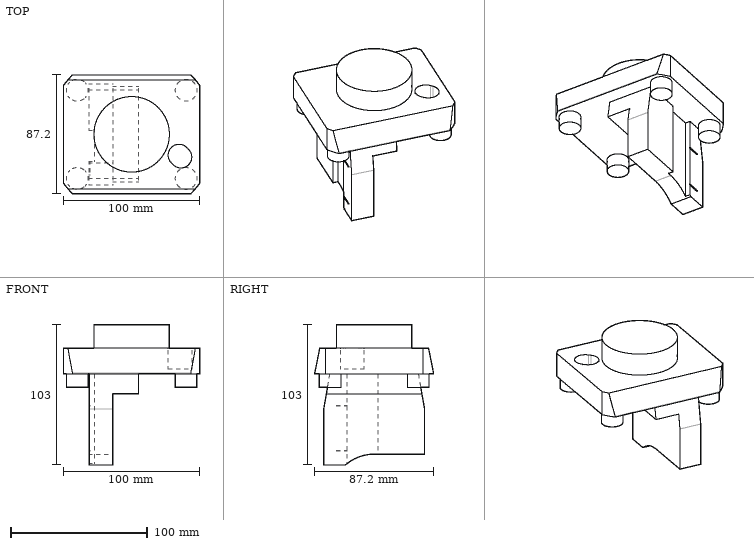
import cadquery as cq
import math

plate_length = 100.0
plate_width = 87.2
plate_top_width = 79.9
plate_height = 18.8
plate_edge_height = 0.5
plate_corner_radius = 61.5

overall_height = 103.0
boss_diameter = 55.4
leg_depth = 67.0
boss_top = overall_height - leg_depth

slot_width = 16.0
slot_center_x = 35.4
slot_center_y = -16.0
slot_center_distance = 2.0
slot_angle = -45.0
slot_depth = 15.5

pin_diameter = 16.0
pin_height = 10.0
pin_x = 39.91
pin_y = 32.3

leg_left = -31.1
leg_thickness = 17.3
foot_right = 5.0
foot_depth = 14.7
leg_width = 74.2
leg_taper_depth = 26.0
leg_taper_angle = 10.0
leg_short_depth = 59.0
arc_end_y = -21.1

recess_depth = 3.9
recess_back_y = 3.0
recess_front_y = -19.9

groove_length = 10.1
groove_height = 0.4
groove_depth = 0.5
groove_levels = (-23.6, -56.5)


def make_plate():
    half_bottom = plate_width / 2
    half_top = plate_top_width / 2
    profile = [
        (-half_bottom, 0),
        (half_bottom, 0),
        (half_bottom, plate_edge_height),
        (half_top, plate_height),
        (-half_top, plate_height),
        (-half_bottom, plate_edge_height),
    ]
    body = cq.Workplane("YZ").polyline(profile).close().extrude(plate_length / 2, both=True)
    corner_cylinder = cq.Workplane("XY").circle(plate_corner_radius).extrude(plate_height)
    return body.intersect(corner_cylinder)


def make_boss():
    return (
        cq.Workplane("XY")
        .workplane(offset=plate_height)
        .circle(boss_diameter / 2)
        .extrude(boss_top - plate_height)
    )


def make_slot():
    return (
        cq.Workplane("XY")
        .workplane(offset=plate_height)
        .center(slot_center_x, slot_center_y)
        .slot2D(slot_width + slot_center_distance, slot_width, slot_angle)
        .extrude(-slot_depth)
    )


def make_pins():
    return (
        cq.Workplane("XY")
        .rect(2 * pin_x, 2 * pin_y, forConstruction=True)
        .vertices()
        .circle(pin_diameter / 2)
        .extrude(-pin_height)
    )


def make_leg():
    """Intersect the L section along X with the side outline along Y."""
    leg_right = leg_left + leg_thickness
    section = (
        cq.Workplane("XZ")
        .moveTo(leg_left, 0)
        .lineTo(foot_right, 0)
        .lineTo(foot_right, -foot_depth)
        .lineTo(leg_right, -foot_depth)
        .lineTo(leg_right, -leg_depth)
        .lineTo(leg_left, -leg_depth)
        .close()
        .extrude(leg_width / 2, both=True)
    )
    half_width = leg_width / 2
    half_width_at_plate = half_width - leg_taper_depth * math.tan(math.radians(leg_taper_angle))

    arc_drop = leg_depth - leg_short_depth
    arc_radius = (arc_end_y**2 + arc_drop**2) / (2 * arc_drop)
    mid_angle = math.asin(-arc_end_y / arc_radius) / 2
    arc_middle = (
        -arc_radius * math.sin(mid_angle),
        -leg_short_depth - arc_radius * (1 - math.cos(mid_angle)),
    )
    outline = (
        cq.Workplane("YZ")
        .workplane(offset=leg_left)
        .moveTo(half_width_at_plate, 0)
        .lineTo(half_width, -leg_taper_depth)
        .lineTo(half_width, -leg_short_depth)
        .lineTo(0, -leg_short_depth)
        .threePointArc(arc_middle, (arc_end_y, -leg_depth))
        .lineTo(-half_width, -leg_depth)
        .lineTo(-half_width, -leg_taper_depth)
        .lineTo(-half_width_at_plate, 0)
        .close()
        .extrude(foot_right - leg_left)
    )
    return section.intersect(outline)


def make_leg_cut(front_y, back_y, bottom_z, top_z, depth):
    """Box cut into the outer (-X) face of the leg."""
    return (
        cq.Workplane("XY")
        .box(depth, back_y - front_y, top_z - bottom_z, centered=False)
        .translate((leg_left, front_y, bottom_z))
    )


leg = make_leg().cut(make_leg_cut(recess_front_y, recess_back_y, -leg_depth, 0, recess_depth))
for level in groove_levels:
    groove = make_leg_cut(
        recess_front_y - groove_length,
        recess_front_y,
        level - groove_height / 2,
        level + groove_height / 2,
        groove_depth,
    )
    leg = leg.cut(groove)

result = make_plate().union(make_boss()).cut(make_slot()).union(make_pins()).union(leg)